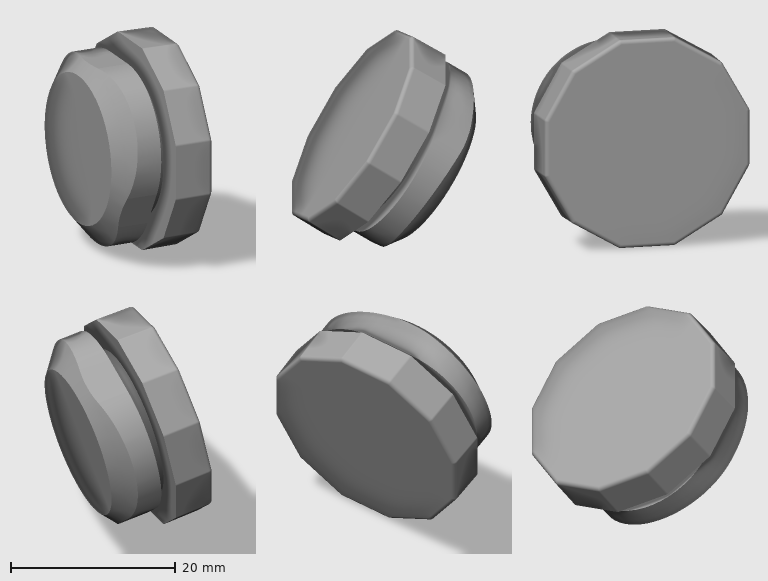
import cadquery as cq
import math


nut_sides = 12
nut_across_flats = 26.05
nut_thickness = 5.0
nut_draft = 1.0
nut_edge_radius = 0.5

neck_diameter = 19.0
neck_radius = neck_diameter / 2
neck_length = 1.5

head_thickness = 5.5
lobe_count = 3
lobe_offset = 3.0
lobe_radius = neck_radius
first_lobe_angle = 30.0
rim_depth = 2.5
front_radius = neck_radius

head_back_y = -neck_length
head_front_y = head_back_y - head_thickness


def polar_points(count, radius, first_angle):
    """Evenly spaced points on a circle, angles in degrees."""
    angles = [math.radians(first_angle + i * 360 / count) for i in range(count)]
    return [(radius * math.cos(a), radius * math.sin(a)) for a in angles]


def make_nut():
    """Drafted twelve-sided prism with rounded corners and a rounded back edge."""
    half_step = 180 / nut_sides
    corner_radius = nut_across_flats / 2 / math.cos(math.radians(half_step))
    corners = polar_points(nut_sides, corner_radius, half_step)
    prism = cq.Workplane("XZ").polyline(corners).close().extrude(-nut_thickness, taper=nut_draft)
    return prism.edges("not <Y").fillet(nut_edge_radius)


def make_neck():
    """Round neck from the nut to the back of the head."""
    return cq.Workplane("XZ").circle(neck_radius).extrude(neck_length)


def make_head():
    """Prism over three joined lobes, cut at the front by a cone about the main axis."""
    lobe_centres = polar_points(lobe_count, lobe_offset, first_lobe_angle)
    lobes = (
        cq.Workplane("XZ", origin=(0, head_back_y, 0))
        .polyline(lobe_centres)
        .close()
        .offset2D(lobe_radius, "arc")
        .extrude(head_thickness)
    )
    rim_slope = (lobe_offset + lobe_radius - front_radius) / rim_depth
    cone_back_radius = front_radius + rim_slope * head_thickness
    cone = (
        cq.Workplane("XY")
        .moveTo(0, head_front_y)
        .lineTo(front_radius, head_front_y)
        .lineTo(cone_back_radius, head_back_y)
        .lineTo(0, head_back_y)
        .close()
        .revolve(360, (0, 0, 0), (0, 1, 0))
    )
    return lobes.intersect(cone)


result = make_nut().union(make_neck()).union(make_head())